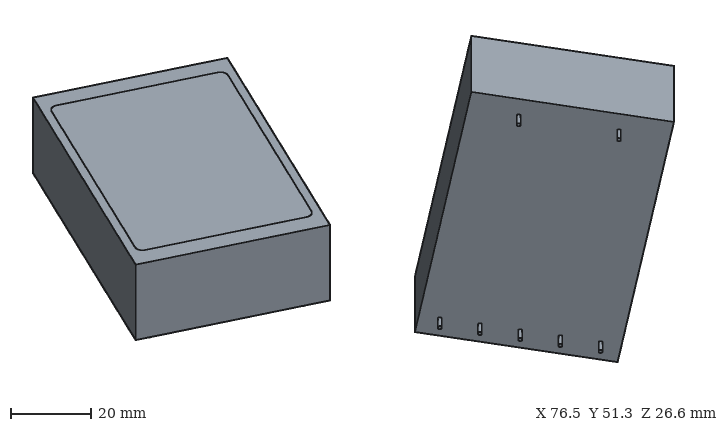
import cadquery as cq

length = 76.5
width = 51.3
total_height = 26.6
pin_length = 3.6
housing_height = total_height - pin_length

plate_length = 66.2
plate_width = 46.6
plate_corner_radius = 2.0
plate_thickness = 0.4

pin_diameter = 1.0
pin_row_spacing = 66.0
five_pin_pitch = 10.2
two_pin_spacing = 25.4


def make_plate():
    """Rounded rectangle whose top face is level with the top of the housing."""
    return (
        cq.Workplane("XY")
        .workplane(offset=housing_height - plate_thickness)
        .rect(plate_length, plate_width)
        .extrude(plate_thickness)
        .edges("|Z")
        .fillet(plate_corner_radius)
    )


def make_housing(plate):
    """Plain block resting on Z = 0, with a shallow recess that the plate fills."""
    block = cq.Workplane("XY").box(length, width, housing_height, centered=(True, True, False))
    return block.cut(plate)


def make_pin(x, y):
    """Round pin hanging from the underside of the housing."""
    return cq.Workplane("XY").center(x, y).circle(pin_diameter / 2).extrude(-pin_length)


plate = make_plate()
housing = make_housing(plate)

pin_positions = [(-pin_row_spacing / 2, side * two_pin_spacing / 2) for side in (-1, 1)]
pin_positions += [(pin_row_spacing / 2, step * five_pin_pitch) for step in (-2, -1, 0, 1, 2)]
pins = [make_pin(x, y) for x, y in pin_positions]

result = cq.Compound.makeCompound([housing.val(), plate.val(), *[pin.val() for pin in pins]])